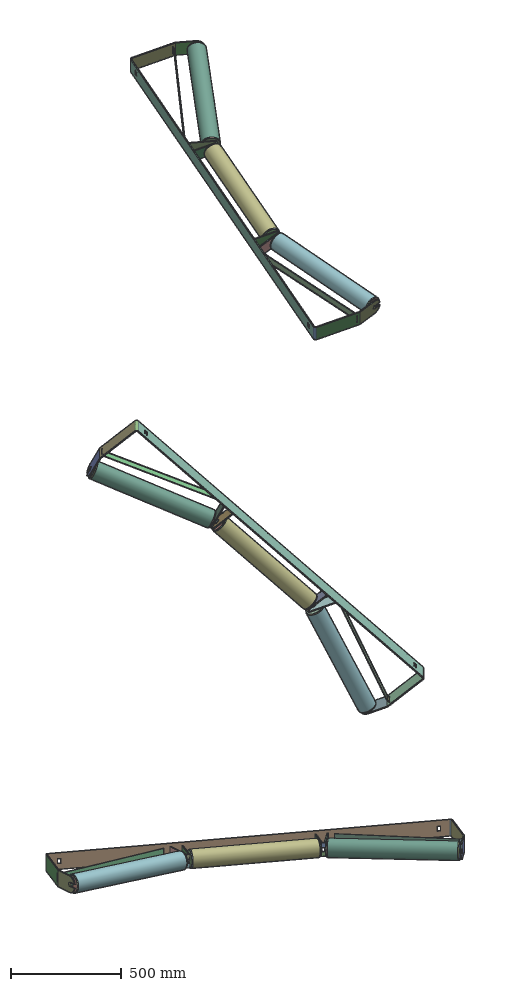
import cadquery as cq
import math


LENGTH = 1890.0
THICKNESS = 6.0
STRIP_WIDTH = 80.0
CORNER_RADIUS = 11.0

TROUGH_ANGLE = math.radians(20)
ROLLER_LENGTH = 601.0
ROLLER_DIAMETER = 89.0
RIM_LENGTH = 5.0
RIM_DEPTH = 2.0
SHAFT_DIAMETER = 19.0
TIP_DROP = 4.0
END_GAP = 5.0
CENTRE_ROLLER_Y = 100.0
ROLLER_DROP = 8.0
WING_INNER_X = -336.0
WING_INNER_Y = 110.0

BRACKET_HEIGHT = 130.0
BRACKET_WIDTH = 65.0
STAY_WIDTH = 40.0
STAY_THICKNESS = 4.0
STAY_TOP_Y = 217.0
STAY_BEND_X = -925.0
STAY_FOOT_X = -397.0

HOLE_INSET = 62.0
HOLE_WIDTH = 15.0
HOLE_HEIGHT = 23.0

HALF_LENGTH = LENGTH / 2
SHAFT_OVERHANG = END_GAP + THICKNESS
SHAFT_LENGTH = ROLLER_LENGTH + 2 * SHAFT_OVERHANG
TILT = math.asin(ROLLER_DROP / ROLLER_LENGTH)

ALONG = (-math.cos(TROUGH_ANGLE), math.sin(TROUGH_ANGLE))
ACROSS = (math.sin(TROUGH_ANGLE), math.cos(TROUGH_ANGLE))

CENTRE_PLANE = cq.Plane(
    origin=(-ROLLER_LENGTH / 2, CENTRE_ROLLER_Y, -ROLLER_DROP), xDir=(0, 1, 0), normal=(1, 0, 0)
)


def wing_plane(side):
    """Plane of a wing roller; side is -1 for the left one and +1 for the right one."""
    return cq.Plane(
        origin=(-side * WING_INNER_X, WING_INNER_Y, -ROLLER_DROP),
        xDir=(-side * ACROSS[0], ACROSS[1], 0),
        normal=(
            -side * ALONG[0] * math.cos(TILT),
            ALONG[1] * math.cos(TILT),
            math.sin(TILT),
        ),
    )


def wing_point(along, across=0.0):
    """XY point of the left wing, measured along and square to its roller from the inner end."""
    return (
        WING_INNER_X + along * ALONG[0] + across * ACROSS[0],
        WING_INNER_Y + along * ALONG[1] + across * ACROSS[1],
    )


def wing_face_at_y(along, y):
    """XY point at height y on the face square to the left wing roller."""
    x0, y0 = wing_point(along)
    return (x0 + (y - y0) * math.tan(TROUGH_ANGLE), y)


def mirror_x(point):
    return (-point[0], point[1])


def both_sides(body):
    """The left-hand body and its right-hand copy."""
    return [body, body.mirror("YZ")]


def bent_strip(path, width, thickness=THICKNESS):
    """Strip folded along path, with its thickness to the left of the direction of travel."""
    headings = [math.atan2(b[1] - a[1], b[0] - a[0]) for a, b in zip(path, path[1:])]
    before = headings[:1] + headings
    after = headings + headings[-1:]
    inner = []
    for (x, y), heading_in, heading_out in zip(path, before, after):
        mitre = (heading_in + heading_out) / 2
        reach = thickness / math.cos((heading_out - heading_in) / 2)
        inner.append((x - reach * math.sin(mitre), y + reach * math.cos(mitre)))
    outline = path + inner[::-1]
    return cq.Workplane("XY").polyline(outline).close().extrude(width / 2, both=True)


def trim_to_base(body):
    """Remove what reaches below the top face of the base."""
    below = cq.Workplane("XY").box(LENGTH, LENGTH, LENGTH).translate((0, THICKNESS - HALF_LENGTH, 0))
    return body.cut(below)


def shaft_slot(plane):
    """Cutter for the slots of one roller: round at the shaft and open upwards."""
    radius = SHAFT_DIAMETER / 2
    return (
        cq.Workplane(plane)
        .workplane(offset=-SHAFT_OVERHANG - END_GAP)
        .moveTo(0, -radius)
        .lineTo(STRIP_WIDTH, -radius)
        .lineTo(STRIP_WIDTH, radius)
        .lineTo(0, radius)
        .threePointArc((-radius, 0), (0, -radius))
        .close()
        .extrude(SHAFT_LENGTH + 2 * END_GAP)
    )


def make_roller(plane):
    """Shell with bevelled rims, in one piece with its shaft."""
    shell_radius = ROLLER_DIAMETER / 2
    rim_radius = shell_radius - RIM_DEPTH
    shaft_radius = SHAFT_DIAMETER / 2
    shaft_start = -SHAFT_OVERHANG
    shaft_end = ROLLER_LENGTH + SHAFT_OVERHANG
    half_section = [
        (0, shaft_start),
        (shaft_radius, shaft_start),
        (shaft_radius, 0),
        (rim_radius, 0),
        (shell_radius, RIM_LENGTH),
        (shell_radius, ROLLER_LENGTH - RIM_LENGTH),
        (rim_radius, ROLLER_LENGTH),
        (shaft_radius, ROLLER_LENGTH),
        (shaft_radius, shaft_end),
        (0, shaft_end),
    ]
    section_plane = cq.Plane(origin=plane.origin, xDir=plane.xDir, normal=plane.yDir.multiply(-1))
    return cq.Workplane(section_plane).polyline(half_section).close().revolve(360, (0, 0), (0, 1))


def make_stay():
    """Left stay: its level tip fills a slot in the upright, its sloped run ends on the base."""
    bend = (STAY_BEND_X, STAY_TOP_Y - STAY_THICKNESS)
    path = [(-HALF_LENGTH, bend[1]), bend, (STAY_FOOT_X, THICKNESS)]
    return bent_strip(path, STAY_WIDTH, STAY_THICKNESS)


def make_bracket():
    """Left inner bracket: an upright leg and a leaning leg joined by a level top."""
    leg_x = -ROLLER_LENGTH / 2 - END_GAP
    path = [
        (leg_x, THICKNESS),
        (leg_x, BRACKET_HEIGHT),
        wing_face_at_y(-END_GAP, BRACKET_HEIGHT),
        wing_face_at_y(-END_GAP, -THICKNESS),
    ]
    bracket = trim_to_base(bent_strip(path, BRACKET_WIDTH)).translate((0, 0, -ROLLER_DROP))
    return bracket.cut(shaft_slot(CENTRE_PLANE)).cut(shaft_slot(wing_plane(-1)))


def rounded_tip(side):
    """Round end of a leaning upright, centred just below the shaft."""
    x, y = wing_point(ROLLER_LENGTH + END_GAP, -TIP_DROP)
    plane = cq.Plane(
        origin=(-side * x, y, 0), xDir=(0, 0, 1), normal=(-side * ALONG[0], ALONG[1], 0)
    )
    return cq.Workplane(plane).circle(STRIP_WIDTH / 2).extrude(THICKNESS)


def make_frame(stays):
    """Base with two uprights whose tops lean in, square to the wing rollers."""
    tip = wing_point(ROLLER_LENGTH + SHAFT_OVERHANG, -TIP_DROP)
    bend = (-HALF_LENGTH, tip[1] - (tip[0] + HALF_LENGTH) / math.tan(TROUGH_ANGLE))
    left_path = [tip, bend, (-HALF_LENGTH, 0)]
    path = left_path + [mirror_x(point) for point in reversed(left_path)]
    frame = bent_strip(path, STRIP_WIDTH)

    outer_corners = cq.selectors.BoxSelector(
        (-LENGTH, -THICKNESS / 2, -STRIP_WIDTH), (LENGTH, THICKNESS / 2, STRIP_WIDTH)
    )
    inner_corners = cq.selectors.BoxSelector(
        (-LENGTH, THICKNESS / 2, -STRIP_WIDTH), (LENGTH, 2 * THICKNESS, STRIP_WIDTH)
    )
    frame = frame.edges("|Z").edges(outer_corners).fillet(CORNER_RADIUS)
    frame = frame.edges("|Z").edges(inner_corners).fillet(CORNER_RADIUS - THICKNESS)

    hole_offset = HALF_LENGTH - HOLE_INSET
    holes = (
        cq.Workplane("XZ")
        .pushPoints([(-hole_offset, 0), (hole_offset, 0)])
        .rect(HOLE_WIDTH, HOLE_HEIGHT)
        .extrude(-THICKNESS)
    )
    frame = frame.cut(holes)

    for side in (-1, 1):
        frame = frame.union(rounded_tip(side)).cut(shaft_slot(wing_plane(side)))
    for stay in stays:
        frame = frame.cut(stay)
    return frame


rollers = [make_roller(plane) for plane in (wing_plane(-1), CENTRE_PLANE, wing_plane(1))]
brackets = both_sides(make_bracket())
stays = both_sides(trim_to_base(make_stay()))
frame = make_frame(stays)

bodies = [frame] + brackets + stays + rollers
result = cq.Compound.makeCompound([body.solids().val() for body in bodies])